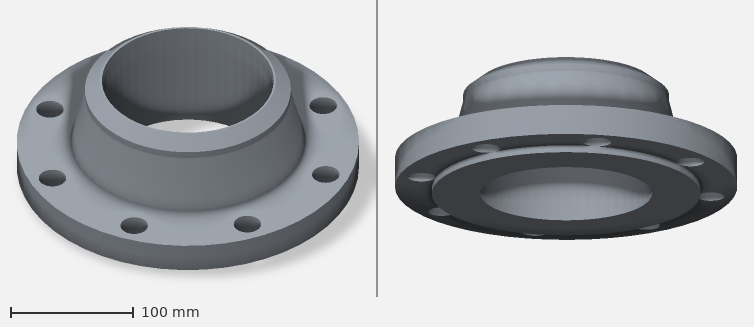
import cadquery as cq

flange_diameter = 279.3
flange_thickness = 24.9
face_height = 6.0

bolt_count = 8
bolt_circle_diameter = 241.3
bolt_hole_diameter = 22.3
face_overlap = 0.067

total_height = 93.9
bore_diameter = 140.2
weld_end_diameter = 168.2
hub_base_diameter = 192.2
hub_fillet_radius = 2.5
weld_end_length = 6.0
bevel_height = 9.5
weld_land_width = 1.7

bolt_circle_radius = bolt_circle_diameter / 2
face_radius = bolt_circle_radius - bolt_hole_diameter / 2 + face_overlap
bore_radius = bore_diameter / 2
flange_top = face_height + flange_thickness
bevel_bottom = total_height - bevel_height
cone_top = bevel_bottom - weld_end_length


def make_flange():
    """Flange disc on top of the raised face, whose underside lies at Z = 0."""
    face = cq.Workplane("XY").circle(face_radius).extrude(face_height)
    disc = (
        cq.Workplane("XY")
        .workplane(offset=face_height)
        .circle(flange_diameter / 2)
        .extrude(flange_thickness)
    )
    return face.union(disc)


def make_hub():
    """Cone, short cylinder and welding bevel, revolved about Z."""
    profile = (
        cq.Workplane("XZ")
        .moveTo(0, flange_top)
        .lineTo(hub_base_diameter / 2, flange_top)
        .lineTo(weld_end_diameter / 2, cone_top)
        .lineTo(weld_end_diameter / 2, bevel_bottom)
        .lineTo(bore_radius + weld_land_width, total_height)
        .lineTo(0, total_height)
        .close()
    )
    return profile.revolve(360, (0, 0, 0), (0, 1, 0))


def fillet_hub_base(body):
    """Round the inner corner between the cone and the top of the flange."""
    hub_base_edge = cq.selectors.RadiusNthSelector(2)
    return body.edges("%CIRCLE").edges(hub_base_edge).fillet(hub_fillet_radius)


def make_bore():
    """Straight bore through the full height."""
    return cq.Workplane("XY").circle(bore_radius).extrude(total_height)


def make_bolt_holes():
    """Ring of bolt holes through the raised face level and the flange."""
    return (
        cq.Workplane("XY")
        .polarArray(bolt_circle_radius, 0, 360, bolt_count)
        .circle(bolt_hole_diameter / 2)
        .extrude(flange_top)
    )


body = fillet_hub_base(make_flange().union(make_hub()))
result = body.cut(make_bore()).cut(make_bolt_holes())